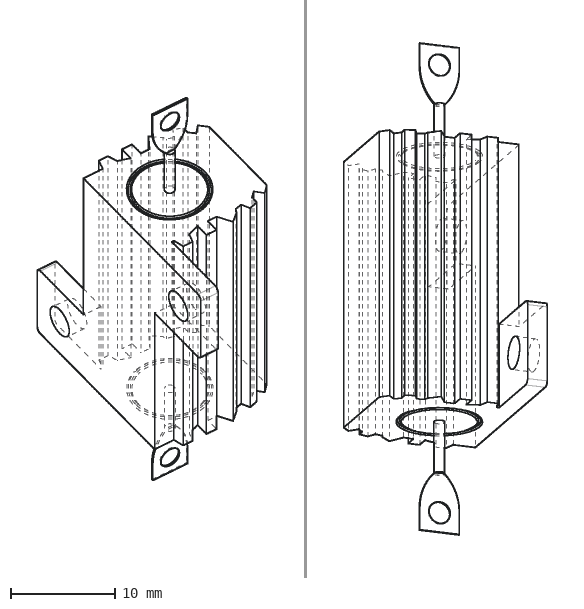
import cadquery as cq


total_height = 49.25
body_height = 26.9
flange_span = 27.4
base_y = -5.9
top_y = 7.98

lug_thickness = 2.0
lug_height = 8.45
lug_corner_radius = 0.5
lug_top_y = base_y + lug_thickness
mount_hole_diameter = 3.2
mount_hole_x = 9.95
mount_hole_z = 9.15

core_half_width = 5.95
valley_half_width = 5.6
fin_half_width = 7.1
top_fin_half_width = 5.6
top_half_width = 4.8
straight_fin_bottom_y = -0.65
straight_fin_top_y = 0.55

groove_outer_radius = 4.15
groove_inner_radius = 3.65
groove_depth = 0.15

lead_diameter = 1.05
tab_length = 5.95
tab_width = 4.05
tab_thickness = 0.2
tab_straight_length = 2.3
tab_hole_diameter = 2.15
tab_hole_inset = 1.95


def make_body():
    """Extruded body with the same fins on both sides."""
    half_outline = [
        (core_half_width, base_y),
        (core_half_width, -3.65),
        (fin_half_width, -3.35),
        (fin_half_width, -2.25),
        (6.05, -1.9),
        (valley_half_width, straight_fin_bottom_y),
        (fin_half_width, straight_fin_bottom_y),
        (fin_half_width, straight_fin_top_y),
        (valley_half_width, straight_fin_top_y),
        (valley_half_width, 1.58),
        (fin_half_width, 2.45),
        (6.2, 3.5),
        (5.8, 3.65),
        (valley_half_width, 4.45),
        (6.5, 4.85),
        (6.2, 5.85),
        (5.35, 5.85),
        (top_half_width, 6.45),
        (top_fin_half_width, 7.2),
        (top_half_width, top_y),
    ]
    mirrored = [(-x, y) for x, y in reversed(half_outline)]
    return (
        cq.Workplane("XY")
        .workplane(offset=-body_height / 2)
        .polyline(half_outline + mirrored)
        .close()
        .extrude(body_height)
    )


def make_lug():
    """Upper right mounting lug, with its two free corners rounded."""
    lug = (
        cq.Workplane("XY")
        .box(flange_span / 2, lug_thickness, lug_height, centered=False)
        .edges("|Y and >X")
        .fillet(lug_corner_radius)
        .translate((0, base_y, body_height / 2 - lug_height))
    )
    hole = (
        cq.Workplane("XZ", origin=(mount_hole_x, lug_top_y, mount_hole_z))
        .circle(mount_hole_diameter / 2)
        .extrude(lug_thickness)
    )
    return lug.cut(hole)


def make_end_groove():
    """Ring with walls sloping at 45 degrees, to cut from the top end of the body."""
    end_z = body_height / 2
    floor_z = end_z - groove_depth
    return (
        cq.Workplane("XZ")
        .moveTo(groove_inner_radius, end_z)
        .lineTo(groove_outer_radius, end_z)
        .lineTo(groove_outer_radius - groove_depth, floor_z)
        .lineTo(groove_inner_radius + groove_depth, floor_z)
        .close()
        .revolve(360, (0, 0, 0), (0, 1, 0))
    )


def make_lead():
    """Upper lead: a round pin from the body middle, ending in a flat solder tab."""
    end_z = total_height / 2
    root_z = end_z - tab_length
    shoulder_z = end_z - tab_straight_length
    half_width = tab_width / 2
    root_half_width = lead_diameter / 2

    flank_inset = half_width - root_half_width
    flank_drop = shoulder_z - root_z
    flank_radius = (flank_inset**2 + flank_drop**2) / (2 * flank_inset)

    pin = cq.Workplane("XY").circle(root_half_width).extrude(root_z)
    tab = (
        cq.Workplane("YZ")
        .moveTo(-half_width, shoulder_z)
        .lineTo(-half_width, end_z)
        .lineTo(half_width, end_z)
        .lineTo(half_width, shoulder_z)
        .radiusArc((root_half_width, root_z), flank_radius)
        .lineTo(-root_half_width, root_z)
        .radiusArc((-half_width, shoulder_z), flank_radius)
        .close()
        .extrude(tab_thickness / 2, both=True)
    )
    hole = (
        cq.Workplane("YZ", origin=(0, 0, end_z - tab_hole_inset))
        .circle(tab_hole_diameter / 2)
        .extrude(tab_thickness / 2, both=True)
    )
    return pin.union(tab.cut(hole))


def with_opposite(shape):
    """The shape together with its copy turned half a turn about Y."""
    return shape.union(shape.rotate((0, 0, 0), (0, 1, 0), 180))


result = (
    make_body()
    .union(with_opposite(make_lug()))
    .cut(with_opposite(make_end_groove()))
    .union(with_opposite(make_lead()))
)